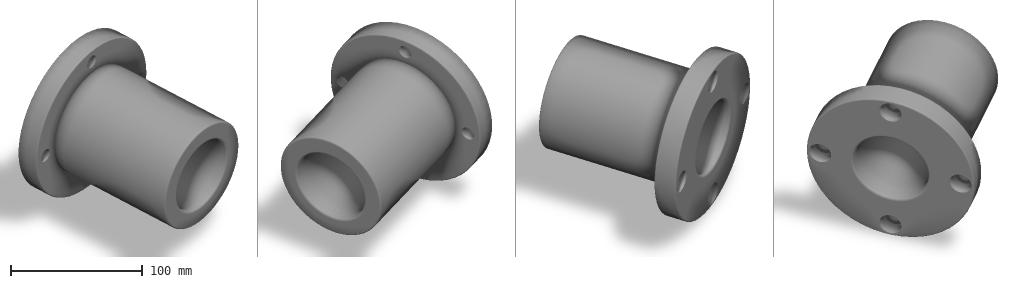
import cadquery as cq

total_length = 125.0
flange_diameter = 134.0
flange_thickness = 18.0
sleeve_diameter = 90.0
bore_diameter = 60.0

flange_rounding = 1.2
sleeve_rounding = 1.5
bore_rounding = 2.0

hole_count = 4
bolt_circle_diameter = 112.0
hole_diameter = 11.0
counterbore_diameter = 17.5
counterbore_depth = 11.0


def cylinder_along_x(diameter, length):
    return cq.Workplane("YZ").circle(diameter / 2).extrude(length)


def flanged_sleeve():
    flange = cylinder_along_x(flange_diameter, flange_thickness)
    sleeve = cylinder_along_x(sleeve_diameter, total_length)
    bore = cylinder_along_x(bore_diameter, total_length)
    return flange.union(sleeve).cut(bore)


def round_edges(body):
    smallest_circles = cq.selectors.RadiusNthSelector(0)
    largest_circles = cq.selectors.RadiusNthSelector(-1)
    body = body.edges(smallest_circles).fillet(bore_rounding)
    body = body.edges(largest_circles).fillet(flange_rounding)
    return body.faces(">X").edges(largest_circles).fillet(sleeve_rounding)


def cut_mounting_holes(body):
    return (
        body.faces("<X")
        .workplane(origin=(0, 0, 0))
        .polarArray(bolt_circle_diameter / 2, 0, 360, hole_count)
        .cboreHole(hole_diameter, counterbore_diameter, counterbore_depth, flange_thickness)
    )


result = cut_mounting_holes(round_edges(flanged_sleeve()))